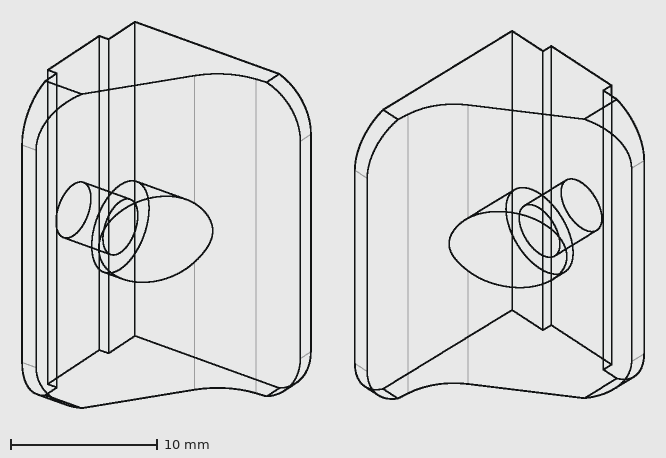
import cadquery as cq
import math

height = 24.6
depth = 13.0
total_width = 15.75
rail_projection = 0.79
body_width = total_width - rail_projection

toe_thickness = 1.2
flange_tip_thickness = 1.23
slant_angle = math.radians(55.0)
flange_taper = math.radians(5.0)
blend_radius = 5.0

hole_y = -6.0
rail_width = 5.93
hole_diameter = 4.0
counterbore_diameter = 6.6
counterbore_floor_x = 3.2

corner_radius = 4.0
corner_height = 3.8


def make_body():
    """Prism along Z, with the inner corner of the profile rounded."""
    slant_slope = math.tan(slant_angle)
    taper_slope = math.tan(flange_taper)
    rise_at_toe = depth - flange_tip_thickness - taper_slope * (body_width - toe_thickness)
    corner_x = toe_thickness + rise_at_toe / (slant_slope - taper_slope)
    corner_y = -depth + slant_slope * (corner_x - toe_thickness)
    body = (
        cq.Workplane("XY", origin=(0, 0, -height / 2))
        .moveTo(0, 0)
        .lineTo(0, -depth)
        .lineTo(toe_thickness, -depth)
        .lineTo(corner_x, corner_y)
        .lineTo(body_width, -flange_tip_thickness)
        .lineTo(body_width, 0)
        .close()
        .extrude(height)
    )
    inner_corner = cq.selectors.NearestToPointSelector((corner_x, corner_y, 0))
    return body.edges("|Z").edges(inner_corner).fillet(blend_radius)


def rounded_outline(plane, edge_position):
    """Closed outline from zero to edge_position, with both outer corners rounded."""
    half_height = height / 2
    arc_start_z = half_height - corner_height
    outward = math.copysign(1, edge_position)
    arc_centre = edge_position - outward * corner_radius
    arc_end = arc_centre + outward * math.sqrt(corner_radius**2 - corner_height**2)
    diagonal = corner_radius * math.sqrt(0.5)
    arc_mid = arc_centre + outward * diagonal
    arc_mid_z = arc_start_z + diagonal
    return (
        cq.Workplane(plane)
        .moveTo(0, -half_height)
        .lineTo(arc_end, -half_height)
        .threePointArc((arc_mid, -arc_mid_z), (edge_position, -arc_start_z))
        .lineTo(edge_position, arc_start_z)
        .threePointArc((arc_mid, arc_mid_z), (arc_end, half_height))
        .lineTo(0, half_height)
        .close()
    )


def cylinder_along_x(diameter, start_x):
    """Cylinder on the hole centreline, running toward +X past the body."""
    return (
        cq.Workplane("YZ", origin=(start_x, hole_y, 0))
        .circle(diameter / 2)
        .extrude(total_width)
    )


flange_outline = rounded_outline("XZ", body_width).extrude(depth)
toe_outline = rounded_outline("YZ", -depth).extrude(body_width)
body = make_body().intersect(flange_outline).intersect(toe_outline)

rail = (
    cq.Workplane("XY")
    .box(rail_projection, rail_width, height, centered=(False, True, True))
    .translate((-rail_projection, hole_y, 0))
)

screw_hole = cylinder_along_x(hole_diameter, -rail_projection)
counterbore = cylinder_along_x(counterbore_diameter, counterbore_floor_x)

result = body.union(rail).cut(screw_hole).cut(counterbore)